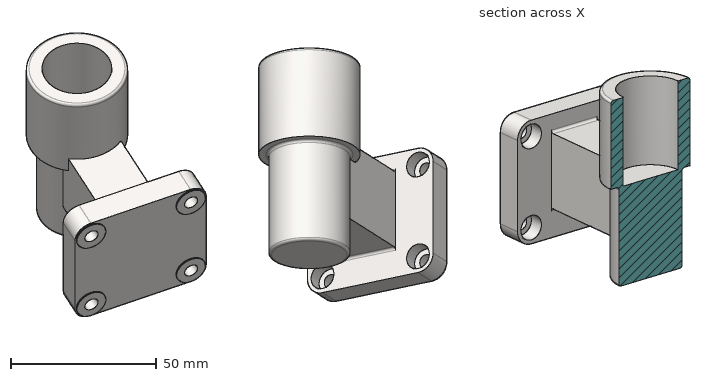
import cadquery as cq

post_height = 70.0
head_diameter = 35.0
head_height = 33.0
stem_diameter = 28.0
bore_diameter = 24.0
bore_depth = head_height
edge_radius = 1.0

flange_near_x = 42.0
flange_thickness = 9.5
flange_width = 50.0
flange_height = 46.0
flange_bottom_z = 4.0
corner_radius = 6.0
flange_far_x = flange_near_x + flange_thickness
flange_mid_z = flange_bottom_z + flange_height / 2

arm_width = 20.0
arm_height = 28.0
arm_bottom_z = 15.0

screw_spacing_y = flange_width - 2 * corner_radius
screw_spacing_z = flange_height - 2 * corner_radius
screw_diameter = 5.0
counterbore_diameter = 9.0
counterbore_depth = 5.5
pad_diameter = 11.0
pad_height = 0.5


def make_post():
    stem_height = post_height - head_height
    stem = cq.Workplane("XY").circle(stem_diameter / 2).extrude(stem_height)
    head = (
        cq.Workplane("XY", origin=(0, 0, stem_height))
        .circle(head_diameter / 2)
        .extrude(head_height)
    )
    rounded = stem.union(head).faces("<Z or >Z").edges().fillet(edge_radius)
    shoulder = cq.selectors.RadiusNthSelector(0)
    return rounded.faces("|Z").faces("<Z[1]").edges(shoulder).fillet(edge_radius)


def make_arm():
    return cq.Workplane("XY").box(
        flange_near_x, arm_width, arm_height, centered=(False, True, False)
    ).translate((0, 0, arm_bottom_z))


def make_flange():
    return (
        cq.Workplane("YZ", origin=(flange_near_x, 0, flange_mid_z))
        .rect(flange_width, flange_height)
        .extrude(flange_thickness)
        .edges("|X")
        .fillet(corner_radius)
    )


def screw_cylinders(start_x, diameter, length):
    """Cylinders along +X at the four screw positions."""
    return (
        cq.Workplane("YZ", origin=(start_x, 0, flange_mid_z))
        .rect(screw_spacing_y, screw_spacing_z, forConstruction=True)
        .vertices()
        .circle(diameter / 2)
        .extrude(length)
    )


bracket = make_arm().union(make_flange())
for root_z in (arm_bottom_z, arm_bottom_z + arm_height):
    root_edge = cq.selectors.NearestToPointSelector((flange_near_x, 0, root_z))
    bracket = bracket.edges(root_edge).fillet(edge_radius)

bracket = bracket.union(screw_cylinders(flange_far_x, pad_diameter, pad_height))
bracket = bracket.cut(screw_cylinders(flange_near_x, screw_diameter, flange_thickness + pad_height))
bracket = bracket.cut(screw_cylinders(flange_near_x, counterbore_diameter, counterbore_depth))

bore = (
    cq.Workplane("XY", origin=(0, 0, post_height - bore_depth))
    .circle(bore_diameter / 2)
    .extrude(bore_depth)
)
result = make_post().union(bracket).cut(bore)